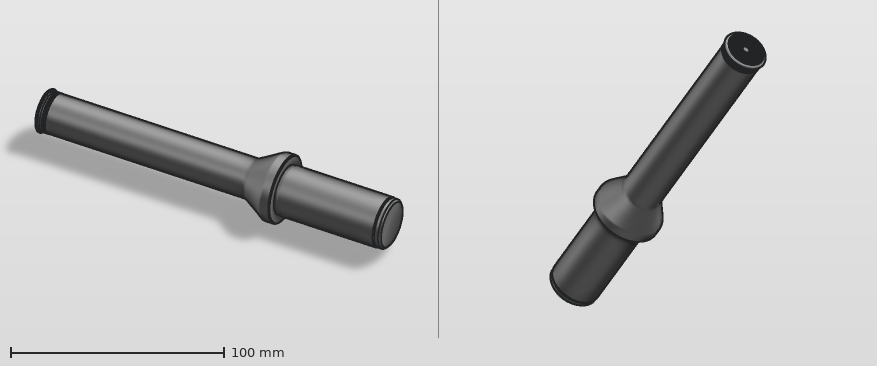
import math

import cadquery as cq

length = 183.0

tip_length = 2.4
tip_face_diameter = 19.0
rim_diameter = 21.6
rim_end = 1.3
seat_diameter = 20.1

face_groove_count = 5
face_groove_pitch = 1.6
face_groove_width = 1.0
face_groove_depth = 0.4
first_face_groove_radius = 2.2

neck_diameter = 20.0
neck_groove_count = 3
neck_groove_pitch = 0.7
neck_groove_width = 0.4
neck_groove_depth = 0.2
first_neck_groove_start = 3.5
seat_end = 5.9
neck_start = 6.8

flare_blend_start = 108.7
flare_start = 110.9
flare_start_diameter = 21.2
flare_end = 121.3
flare_end_diameter = 33.3
collar_diameter = 34.0
collar_start = 122.5
collar_end = 127.0
collar_chamfer = 0.5

shank_diameter = 25.0
relief_diameter = 24.5
relief_end = 128.1
shank_start = 129.0
tail_step = 179.2
tail_step_width = 0.7
tail_chamfer = 1.1


def revolved(profile):
    """Revolve a closed profile about the X axis."""
    return profile.revolve(360, (0, 0, 0), (1, 0, 0))


def ring(start, width, inner_radius, outer_radius):
    """Make a ring about the X axis."""
    face = cq.Workplane("YZ", origin=(start, 0, 0))
    return face.circle(outer_radius).circle(inner_radius).extrude(width)


def make_tip():
    """Make the round-edged end disc with concentric V grooves in its face."""
    face_radius = tip_face_diameter / 2
    rim_radius = rim_diameter / 2
    arc_middle = (
        rim_end * (1 - math.cos(math.pi / 4)),
        face_radius + (rim_radius - face_radius) * math.sin(math.pi / 4),
    )
    profile = (
        cq.Workplane("XY")
        .lineTo(0, face_radius)
        .threePointArc(arc_middle, (rim_end, rim_radius))
        .lineTo(rim_end, seat_diameter / 2)
        .lineTo(tip_length, seat_diameter / 2)
        .lineTo(tip_length, 0)
        .close()
    )
    tip = revolved(profile)
    for i in range(face_groove_count):
        middle = first_face_groove_radius + i * face_groove_pitch
        groove = [
            (0, middle - face_groove_width / 2),
            (face_groove_depth, middle),
            (0, middle + face_groove_width / 2),
        ]
        tip = tip.cut(revolved(cq.Workplane("XY").polyline(groove).close()))
    return tip


def make_shaft():
    """Make the neck, flared collar and shank as one turned body."""
    profile = (
        cq.Workplane("XY")
        .moveTo(tip_length, 0)
        .lineTo(tip_length, seat_diameter / 2)
        .lineTo(seat_end, seat_diameter / 2)
        .lineTo(neck_start, neck_diameter / 2)
        .lineTo(flare_blend_start, neck_diameter / 2)
        .tangentArcPoint((flare_start, flare_start_diameter / 2), relative=False)
        .lineTo(flare_end, flare_end_diameter / 2)
        .tangentArcPoint((collar_start, collar_diameter / 2), relative=False)
        .lineTo(collar_end - collar_chamfer, collar_diameter / 2)
        .lineTo(collar_end, collar_diameter / 2 - collar_chamfer)
        .lineTo(collar_end, relief_diameter / 2)
        .lineTo(relief_end, relief_diameter / 2)
        .lineTo(shank_start, shank_diameter / 2)
        .lineTo(tail_step, shank_diameter / 2)
        .lineTo(tail_step + tail_step_width, relief_diameter / 2)
        .lineTo(length - tail_chamfer, relief_diameter / 2)
        .lineTo(length, relief_diameter / 2 - tail_chamfer)
        .lineTo(length, 0)
        .close()
    )
    shaft = revolved(profile)
    for i in range(neck_groove_count):
        start = first_neck_groove_start + i * neck_groove_pitch
        floor_radius = seat_diameter / 2 - neck_groove_depth
        shaft = shaft.cut(ring(start, neck_groove_width, floor_radius, seat_diameter / 2))
    return shaft


tip = make_tip()
shaft = make_shaft()
result = cq.Compound.makeCompound([tip.val(), shaft.val()])